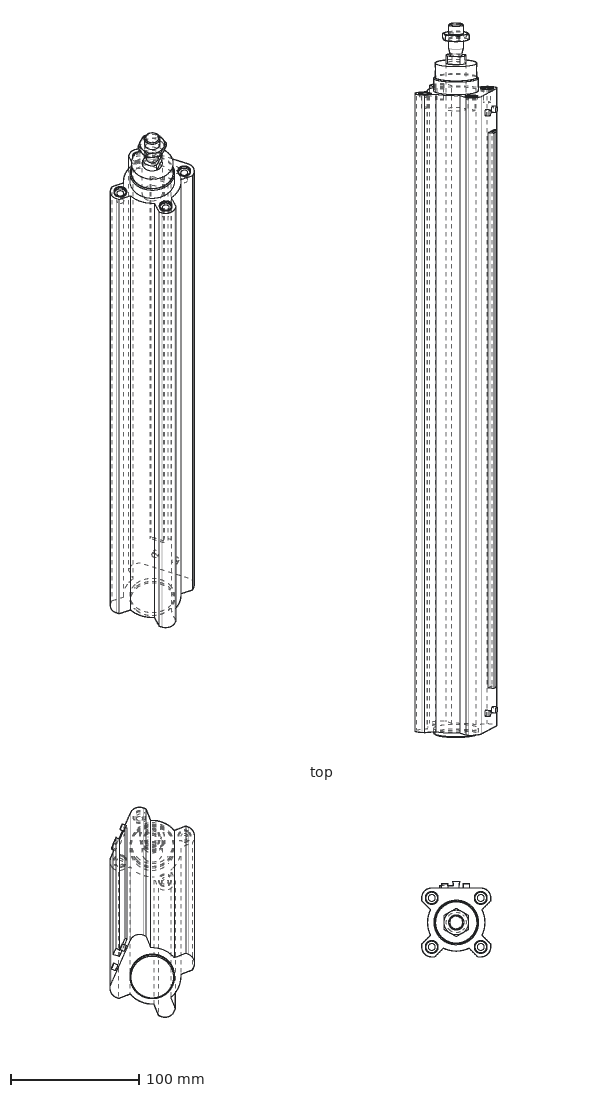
import cadquery as cq
import math

TOTAL_LENGTH = 562.0
BARREL_BOTTOM = 4.5
BARREL_TOP = 509.0

HALF_WIDTH = 27.0
BARREL_DIAMETER = 45.0
LOBE_CENTER = 19.0
LOBE_RADIUS = HALF_WIDTH - LOBE_CENTER
LOBE_FLAT_END = 17.0
FLANK_INNER = 9.0

RIM_DIAMETER = 10.0
RIM_DEPTH = 0.5
RECESS_DIAMETER = 9.0
RECESS_DEPTH = 2.0
SCREW_HOLE_DIAMETER = 5.4
SCREW_HOLE_DEPTH = 11.0

COLLAR_DIAMETER = 35.0
COLLAR_CHAMFER = 0.85
COLLAR_TOP = 520.0
NECK_DIAMETER = 32.5
NECK_TOP = 531.0
WAIST_Z = 525.5
WAIST_HALF_WIDTH = 1.5
WAIST_DEPTH = 0.2

RAIL_BOTTOM = 38.0
RAIL_TOP = 477.5
RAIL_CREST_Y = 32.0
RAIL_CREST_WIDTH = 5.5
RAIL_FOOT_WIDTH = 4.5
RAIL_BASE_Y = 28.5
RAIL_BASE_LEFT = -13.0
BOSS_DIAMETER = 4.95
BOSS_TOP_Y = 30.5
BOSS_LEFT_X = -9.0
BOSS_RIGHT_X = 8.0
BOSS_END_DISTANCE = 14.5

ROD_DIAMETER = 16.0
ROD_FLATS = 12.0
ROD_BOTTOM = 494.5
ROD_SHOULDER = 537.0
THREAD_DIAMETER = 12.0
THREAD_BOTTOM = 543.0
THREAD_CHAMFER = 0.85
UNDERCUT_DIAMETER = 9.5
UNDERCUT_TOP = 539.0

NUT_FLATS = 19.0
NUT_BOTTOM = 549.5
NUT_HEIGHT = 5.0
NUT_CHAMFER_ANGLE = 30.0
HALF_FACET_ANGLE = 30.0


def corner_lobe(x_sign, y_sign):
    """One lobe: a round outer corner with 45 degree flanks running in to the tube."""
    diagonal = LOBE_CENTER + LOBE_RADIUS * math.sqrt(0.5)
    flank_foot = HALF_WIDTH - (LOBE_FLAT_END - FLANK_INNER)

    def at(x, y):
        return (x_sign * x, y_sign * y)

    return (
        cq.Workplane("XY", origin=(0, 0, BARREL_BOTTOM))
        .moveTo(0, 0)
        .lineTo(*at(flank_foot, FLANK_INNER))
        .lineTo(*at(HALF_WIDTH, LOBE_FLAT_END))
        .lineTo(*at(HALF_WIDTH, LOBE_CENTER))
        .threePointArc(at(diagonal, diagonal), at(LOBE_CENTER, HALF_WIDTH))
        .lineTo(*at(LOBE_FLAT_END, HALF_WIDTH))
        .lineTo(*at(FLANK_INNER, flank_foot))
        .close()
        .extrude(BARREL_TOP - BARREL_BOTTOM)
    )


def make_barrel():
    """Tube, four lobes and the flat face that joins the two +Y lobes."""
    length = BARREL_TOP - BARREL_BOTTOM
    base = cq.Workplane("XY", origin=(0, 0, BARREL_BOTTOM))
    barrel = base.circle(BARREL_DIAMETER / 2).extrude(length)
    for x_sign in (-1, 1):
        for y_sign in (-1, 1):
            barrel = barrel.union(corner_lobe(x_sign, y_sign))
    bridge = base.center(0, HALF_WIDTH / 2).rect(2 * LOBE_CENTER, HALF_WIDTH).extrude(length)
    return barrel.union(bridge)


def screw_recesses():
    """A stepped screw hole in the upper end of each lobe."""
    centers = [(x * LOBE_CENTER, y * LOBE_CENTER) for x in (-1, 1) for y in (-1, 1)]
    top = cq.Workplane("XY", origin=(0, 0, BARREL_TOP)).pushPoints(centers)
    rims = top.circle(RIM_DIAMETER / 2).extrude(-RIM_DEPTH)
    recesses = top.circle(RECESS_DIAMETER / 2).extrude(-RECESS_DEPTH)
    holes = top.circle(SCREW_HOLE_DIAMETER / 2).extrude(-SCREW_HOLE_DEPTH)
    return rims.union(recesses).union(holes)


def end_collars():
    """Turned collars: a short one below and a stepped one above with a slight smooth waist."""
    collar = COLLAR_DIAMETER / 2
    neck = NECK_DIAMETER / 2
    waist = [
        (neck, WAIST_Z - WAIST_HALF_WIDTH),
        (neck - WAIST_DEPTH, WAIST_Z),
        (neck, WAIST_Z + WAIST_HALF_WIDTH),
        (neck, NECK_TOP),
    ]
    return (
        cq.Workplane("XZ")
        .moveTo(0, 0)
        .lineTo(collar - COLLAR_CHAMFER, 0)
        .lineTo(collar, COLLAR_CHAMFER)
        .lineTo(collar, COLLAR_TOP - COLLAR_CHAMFER)
        .lineTo(collar - COLLAR_CHAMFER, COLLAR_TOP)
        .lineTo(neck, COLLAR_TOP)
        .spline(waist, tangents=[(0, 1), (0, 1)], includeCurrent=True)
        .lineTo(0, NECK_TOP)
        .close()
        .revolve(360, (0, 0, 0), (0, 1, 0))
    )


def back_rail():
    """Long raised rail on a flat base strip, on the +Y face."""
    crest = RAIL_CREST_WIDTH / 2
    foot = RAIL_FOOT_WIDTH / 2
    return (
        cq.Workplane("XY", origin=(0, 0, RAIL_BOTTOM))
        .moveTo(RAIL_BASE_LEFT, HALF_WIDTH)
        .lineTo(RAIL_BASE_LEFT, RAIL_BASE_Y)
        .lineTo(-foot, RAIL_BASE_Y)
        .lineTo(-crest, RAIL_CREST_Y)
        .lineTo(crest, RAIL_CREST_Y)
        .lineTo(foot, RAIL_BASE_Y)
        .lineTo(foot, HALF_WIDTH)
        .close()
        .extrude(RAIL_TOP - RAIL_BOTTOM)
    )


def back_bosses():
    """A pair of round bosses on the +Y face near each end of the barrel."""
    heights = (BARREL_BOTTOM + BOSS_END_DISTANCE, BARREL_TOP - BOSS_END_DISTANCE)
    return (
        cq.Workplane("XZ", origin=(0, HALF_WIDTH, 0))
        .pushPoints([(x, z) for x in (BOSS_LEFT_X, BOSS_RIGHT_X) for z in heights])
        .circle(BOSS_DIAMETER / 2)
        .extrude(HALF_WIDTH - BOSS_TOP_Y)
    )


def rod_bore():
    """Blind bore that holds the lower end of the piston rod."""
    floor = cq.Workplane("XY", origin=(0, 0, ROD_BOTTOM))
    return floor.circle(ROD_DIAMETER / 2).extrude(NECK_TOP - ROD_BOTTOM)


def make_housing():
    housing = make_barrel().union(end_collars()).union(back_rail()).union(back_bosses())
    return housing.cut(screw_recesses()).cut(rod_bore())


def make_rod():
    """Piston rod with wrench flats, an undercut and a threaded end."""
    thread = THREAD_DIAMETER / 2
    undercut = UNDERCUT_DIAMETER / 2
    turned = (
        cq.Workplane("XZ")
        .moveTo(0, ROD_BOTTOM)
        .lineTo(ROD_DIAMETER / 2, ROD_BOTTOM)
        .lineTo(ROD_DIAMETER / 2, ROD_SHOULDER)
        .lineTo(undercut, ROD_SHOULDER)
        .lineTo(undercut, UNDERCUT_TOP)
        .lineTo(thread, THREAD_BOTTOM)
        .lineTo(thread, TOTAL_LENGTH - THREAD_CHAMFER)
        .lineTo(thread - THREAD_CHAMFER, TOTAL_LENGTH)
        .lineTo(0, TOTAL_LENGTH)
        .close()
        .revolve(360, (0, 0, 0), (0, 1, 0))
    )
    flats_plane = cq.Workplane("XY", origin=(0, 0, NECK_TOP))
    flats_height = ROD_SHOULDER - NECK_TOP
    full_block = flats_plane.rect(ROD_DIAMETER, ROD_DIAMETER).extrude(flats_height)
    kept_block = flats_plane.rect(ROD_FLATS, ROD_DIAMETER).extrude(flats_height)
    return turned.cut(full_block.cut(kept_block))


def make_nut():
    """Hexagon nut with flats facing -X and +X and chamfered corners."""
    corner_diameter = NUT_FLATS / math.cos(math.radians(HALF_FACET_ANGLE))
    chamfer_width = (corner_diameter - NUT_FLATS) / 2
    chamfer_rise = chamfer_width * math.tan(math.radians(NUT_CHAMFER_ANGLE))
    plane = cq.Workplane("XY", origin=(0, 0, NUT_BOTTOM))
    hexagon = plane.polygon(6, corner_diameter).extrude(NUT_HEIGHT)
    hexagon = hexagon.rotate((0, 0, 0), (0, 0, 1), HALF_FACET_ANGLE)
    envelope = (
        plane.circle(corner_diameter / 2)
        .extrude(NUT_HEIGHT)
        .faces("<Z or >Z")
        .chamfer(chamfer_rise, chamfer_width)
    )
    thread_hole = plane.circle(THREAD_DIAMETER / 2).extrude(NUT_HEIGHT)
    return hexagon.intersect(envelope).cut(thread_hole)


housing = make_housing()
piston_rod = make_rod()
nut = make_nut()

result = cq.Compound.makeCompound([housing.val(), piston_rod.val(), nut.val()])